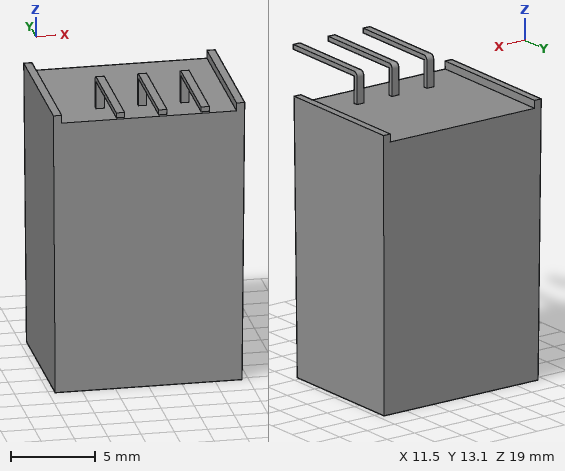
import cadquery as cq

total_height = 19.0
body_width = 11.5
body_depth = 8.97
body_height = 17.5
side_taper = 0.13
rail_width = 0.5
rail_height = 0.5
pin_width = 0.5
pin_thickness = 0.3
pin_pitch = 2.55
pin_count = 3
pin_reach = 4.15
pin_length = 6.4
pin_root_depth = 0.38

floor_height = body_height - rail_height


def make_body():
    """Block that narrows toward its base on all four sides."""
    return (
        cq.Workplane("XY")
        .rect(body_width - 2 * side_taper, body_depth - 2 * side_taper)
        .workplane(offset=body_height)
        .rect(body_width, body_depth)
        .loft(ruled=True)
    )


def make_channel():
    """Open channel along Y that leaves a rail on each side of the top."""
    return cq.Workplane("XY").workplane(offset=floor_height).rect(
        body_width - 2 * rail_width, 2 * body_depth
    ).extrude(2 * rail_height)


def make_pin(x_center):
    """Flat pin that rises from the floor and bends toward -Y, with a rounded outer corner."""
    tip_y = -body_depth / 2 - pin_reach
    back_y = tip_y + pin_length
    root_z = floor_height - pin_root_depth
    inner_y = back_y - pin_thickness
    arm_bottom_z = total_height - pin_thickness
    return (
        cq.Workplane("YZ", origin=(x_center, 0, 0))
        .moveTo(tip_y, total_height)
        .lineTo(inner_y, total_height)
        .radiusArc((back_y, arm_bottom_z), pin_thickness)
        .lineTo(back_y, root_z)
        .lineTo(inner_y, root_z)
        .lineTo(inner_y, arm_bottom_z)
        .lineTo(tip_y, arm_bottom_z)
        .close()
        .extrude(pin_width / 2, both=True)
    )


result = make_body().cut(make_channel())
for index in range(pin_count):
    result = result.union(make_pin((index - (pin_count - 1) / 2) * pin_pitch))